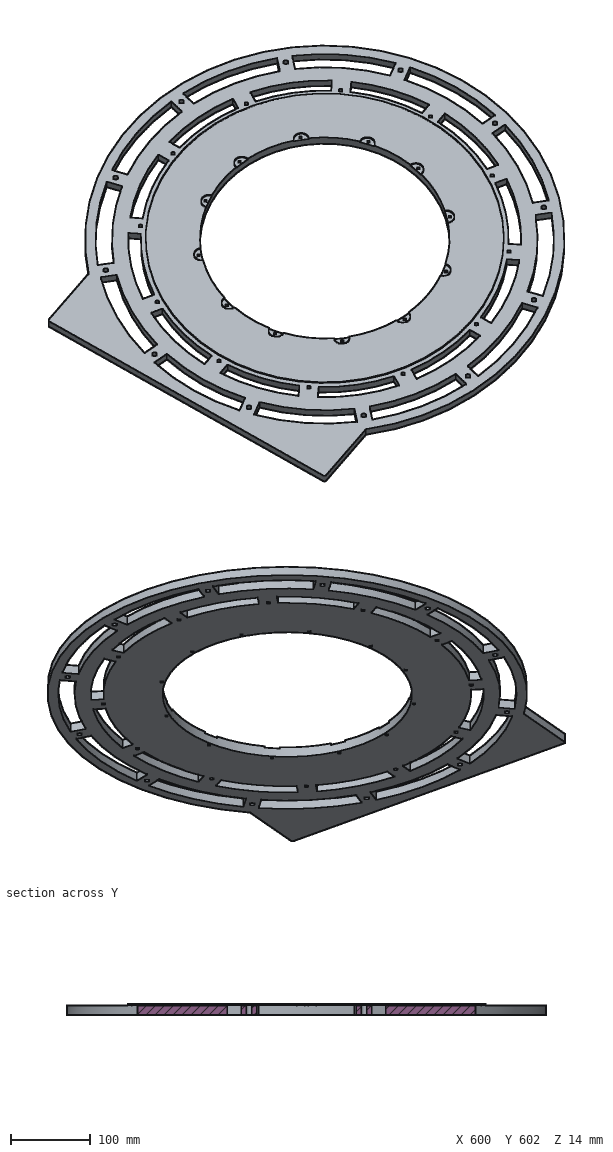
import cadquery as cq
import math

outer_radius = 300.0
base_edge_distance = 302.0
base_width = 422.5
base_corner_radius = 2.5
plate_thickness = 12.0
total_thickness = 14.0

disc_diameter = 448.0
bore_diameter = 312.0

spoke_count = 12
spoke_step = 360 / spoke_count
half_step = spoke_step / 2
spoke_angles = [index * spoke_step for index in range(spoke_count)]
offset_spoke_angles = [angle + half_step for angle in spoke_angles]

outer_window_inner_radius = 266.0
outer_window_outer_radius = 286.5
outer_spoke_width = 19.0
outer_hole_circle_radius = 278.0
outer_hole_diameter = 6.0

inner_window_inner_radius = 230.0
inner_window_outer_radius = 245.5
inner_spoke_width = 24.0
inner_hole_circle_radius = 231.0
inner_hole_diameter = 4.5

seat_step = 30.8
seat_group_angles = (47.2, 135.8)
seat_diameter = 19.0
seat_depth = 2.0
seat_hole_circle_radius = 160.0
seat_hole_diameter = 3.4
seat_angles = [
    side * (group_angle + place * seat_step)
    for side in (1, -1)
    for group_angle in seat_group_angles
    for place in (-1, 0, 1)
]


def plain_disc(radius, height):
    """Disc standing on the bottom face."""
    return cq.Workplane("XY").circle(radius).extrude(height)


def holes_on_circle(circle_radius, angles, diameter, bottom=0.0):
    """Cutters for round holes at the given angles, running from bottom up to the top face."""
    centers = [
        (circle_radius * math.cos(math.radians(angle)), circle_radius * math.sin(math.radians(angle)))
        for angle in angles
    ]
    return (
        cq.Workplane("XY", origin=(0, 0, bottom))
        .pushPoints(centers)
        .circle(diameter / 2)
        .extrude(total_thickness - bottom)
    )


def ring_of_windows(inner_radius, outer_radius, spoke_width, angles):
    """Cutter for arc-shaped windows: a ring interrupted by parallel-sided spokes."""
    ring = cq.Workplane("XY").circle(outer_radius).circle(inner_radius).extrude(plate_thickness)
    bar = cq.Workplane("XY").box(
        outer_radius + spoke_width, spoke_width, plate_thickness, centered=(False, True, False)
    )
    for angle in angles:
        ring = ring.cut(bar.rotate((0, 0, 0), (0, 0, 1), angle))
    return ring


foot = (
    cq.Workplane("XY")
    .center(0, -base_edge_distance / 2)
    .rect(base_width, base_edge_distance)
    .extrude(plate_thickness)
    .edges("|Z and <Y")
    .fillet(base_corner_radius)
)
body = plain_disc(outer_radius, plate_thickness).union(foot)
body = body.union(plain_disc(disc_diameter / 2, total_thickness))
body = body.cut(plain_disc(bore_diameter / 2, total_thickness))

body = body.cut(
    ring_of_windows(
        outer_window_inner_radius, outer_window_outer_radius, outer_spoke_width, offset_spoke_angles
    )
)
body = body.cut(
    ring_of_windows(inner_window_inner_radius, inner_window_outer_radius, inner_spoke_width, spoke_angles)
)

body = body.cut(holes_on_circle(outer_hole_circle_radius, offset_spoke_angles, outer_hole_diameter))
body = body.cut(holes_on_circle(inner_hole_circle_radius, spoke_angles, inner_hole_diameter))

seat_floor = total_thickness - seat_depth
body = body.cut(holes_on_circle(bore_diameter / 2, seat_angles, seat_diameter, seat_floor))
body = body.cut(holes_on_circle(seat_hole_circle_radius, seat_angles, seat_hole_diameter))

result = body